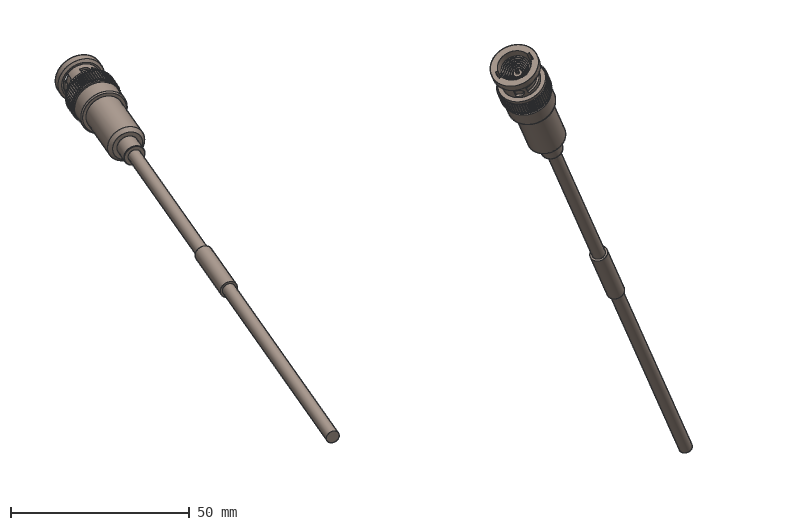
import cadquery as cq
import math

OVERALL_LENGTH = 195.58

CABLE_RADIUS = 1.95
MARKER_RADIUS = 2.6
MARKER_START = 96.3
MARKER_LENGTH = 19.4

COLLAR_RADIUS = 7.0
COLLAR_CYLINDER_END = 2.2
COLLAR_END = 2.7
COLLAR_END_RADIUS = 6.1
NECK_RADIUS = 5.6
GRIP_START = 8.0
GRIP_RADIUS = COLLAR_RADIUS
KNURL_RADIUS = 7.49
KNURL_START = 9.1
KNURL_END = 13.5
NUT_END = 14.1
NUT_BORE_RADIUS = 4.9
NUT_BORE_DEPTH = 8.8

KNURL_COUNT = 60
KNURL_DEPTH = 0.4
KNURL_HALF_WIDTH = 0.3

SLOT_COUNT = 2
SLOT_WIDTH = 2.4
ENTRY_ANGLE = -27.0
HELIX_START = 4.9
HELIX_END_ANGLE = 66.0
HELIX_END = 5.8
DETENT_ANGLE = 90.0
DETENT_POSITION = 5.9
DETENT_RADIUS = 1.4
ENTRY_GROOVE_RADIUS = 5.5

GROOVE_END = 14.8
GROOVE_RADIUS = 6.5
FLANGE_RADIUS = 7.0
FLANGE_END = 20.1
FLANGE_CHAMFER = 0.4
BARREL_RADIUS = 5.6
BARREL_END = 36.7
SHOULDER_RADIUS = 4.5
SHOULDER_END = 37.8
FERRULE_RADIUS = 3.2
FERRULE_END = 43.2
FERRULE_CHAMFER = 0.15

TUBE_RADIUS = 4.15
TUBE_START = 1.4
STEP_COUNT = 6
STEP_RADIUS_DROP = 0.44
STEP_DEPTH = 0.5
INSULATOR_RADIUS = 1.35
INSULATOR_START = 3.8
PIN_RADIUS = 0.5
PIN_START = 2.6
PIN_TIP_RADIUS = 0.3
PIN_TIP_LENGTH = 0.4


def revolve_about_x(points):
    """Solid of revolution from (x, radius) points."""
    return cq.Workplane("XY").polyline(points).close().revolve(360, (0, 0, 0), (1, 0, 0))


def rod(start, end, radius):
    """Cylinder on the X axis."""
    return cq.Workplane("YZ", origin=(start, 0, 0)).circle(radius).extrude(end - start)


def turn(shape, angle):
    """Turn a shape about the X axis, positive from -Y toward -Z."""
    return shape.rotate((0, 0, 0), (1, 0, 0), angle)


def knurl_cutter():
    """One V groove along X at the top of the grip."""
    floor = KNURL_RADIUS - KNURL_DEPTH
    rim = KNURL_RADIUS + KNURL_DEPTH
    half_rim = KNURL_HALF_WIDTH * (rim - floor) / KNURL_DEPTH
    return (
        cq.Workplane("YZ", origin=(GRIP_START, 0, 0))
        .polyline([(0, floor), (half_rim, rim), (-half_rim, rim)])
        .close()
        .extrude(NUT_END - GRIP_START)
    )


def radial_hole(position, radius, angle):
    """Cylinder reaching outward through the nut wall at one angle."""
    hole = (
        cq.Workplane("XZ", origin=(position, 0, 0))
        .circle(radius)
        .extrude(COLLAR_RADIUS)
    )
    return turn(hole, angle)


def helical_slot():
    """Slot with a round start that climbs along X from the entry angle to the end angle."""
    sweep_angle = HELIX_END_ANGLE - ENTRY_ANGLE
    travel = HELIX_END - HELIX_START
    pitch = travel * 360 / sweep_angle
    middle_radius = (TUBE_RADIUS + COLLAR_RADIUS) / 2
    path = cq.Wire.makeHelix(pitch, travel, middle_radius)
    slope = math.degrees(math.atan2(travel, middle_radius * math.radians(sweep_angle)))
    band = (
        cq.Workplane("XZ", origin=(middle_radius, 0, 0))
        .transformed(rotate=(slope, 0, 0))
        .rect(COLLAR_RADIUS - TUBE_RADIUS, SLOT_WIDTH)
        .sweep(cq.Workplane(obj=path), isFrenet=True)
    )
    band = band.rotate((0, 0, 0), (0, 1, 0), 90).translate((HELIX_START, 0, 0))
    band = turn(band, ENTRY_ANGLE - 90)
    start_round = radial_hole(HELIX_START, SLOT_WIDTH / 2, ENTRY_ANGLE)
    return band.union(start_round)


def slot_entry():
    """Groove inside the collar that leads from the mating face into the slot."""
    inside_collar = (
        cq.Workplane("XY", origin=(COLLAR_END / 2, -ENTRY_GROOVE_RADIUS / 2, 0))
        .box(COLLAR_END, ENTRY_GROOVE_RADIUS, SLOT_WIDTH)
    )
    through_neck = (
        cq.Workplane("XY", origin=((COLLAR_END + HELIX_START) / 2, -COLLAR_RADIUS / 2, 0))
        .box(HELIX_START - COLLAR_END, COLLAR_RADIUS, SLOT_WIDTH)
    )
    return turn(inside_collar.union(through_neck), ENTRY_ANGLE)


def detent_hole():
    """Round seat with a square side facing the end of the slot."""
    square_side = (
        cq.Workplane("XY", origin=(DETENT_POSITION, -COLLAR_RADIUS / 2, -DETENT_RADIUS / 2))
        .box(2 * DETENT_RADIUS, COLLAR_RADIUS, DETENT_RADIUS)
    )
    return radial_hole(DETENT_POSITION, DETENT_RADIUS, 0).union(square_side)


def make_nut():
    nut = revolve_about_x([
        (0, NUT_BORE_RADIUS),
        (0, COLLAR_RADIUS),
        (COLLAR_CYLINDER_END, COLLAR_RADIUS),
        (COLLAR_END, COLLAR_END_RADIUS),
        (COLLAR_END, NECK_RADIUS),
        (GRIP_START, NECK_RADIUS),
        (GRIP_START, GRIP_RADIUS),
        (KNURL_START, GRIP_RADIUS),
        (KNURL_START, KNURL_RADIUS),
        (KNURL_END, KNURL_RADIUS),
        (KNURL_END, GRIP_RADIUS),
        (NUT_END, GRIP_RADIUS),
        (NUT_END, TUBE_RADIUS),
        (NUT_BORE_DEPTH, TUBE_RADIUS),
        (NUT_BORE_DEPTH, NUT_BORE_RADIUS),
    ])
    groove = knurl_cutter()
    for index in range(KNURL_COUNT):
        nut = nut.cut(turn(groove, (index + 0.5) * 360 / KNURL_COUNT))
    slot = helical_slot().union(slot_entry())
    detent = turn(detent_hole(), DETENT_ANGLE)
    for index in range(SLOT_COUNT):
        angle = index * 360 / SLOT_COUNT
        nut = nut.cut(turn(slot, angle)).cut(turn(detent, angle))
    return nut


def make_connector():
    """Body with its contact tube, insulator and centre pin in one piece."""
    socket_steps = []
    for step in reversed(range(STEP_COUNT)):
        face = TUBE_START + step * STEP_DEPTH
        outer = TUBE_RADIUS - step * STEP_RADIUS_DROP
        inner = outer - STEP_RADIUS_DROP
        socket_steps += [(face, inner), (face, outer)]
    socket_floor = TUBE_START + STEP_COUNT * STEP_DEPTH
    smallest_bore = TUBE_RADIUS - STEP_COUNT * STEP_RADIUS_DROP
    return revolve_about_x([
        (PIN_START, 0),
        (PIN_START, PIN_TIP_RADIUS),
        (PIN_START + PIN_TIP_LENGTH, PIN_RADIUS),
        (INSULATOR_START, PIN_RADIUS),
        (INSULATOR_START, INSULATOR_RADIUS),
        (socket_floor, INSULATOR_RADIUS),
        (socket_floor, smallest_bore),
        *socket_steps,
        (NUT_END, TUBE_RADIUS),
        (NUT_END, GROOVE_RADIUS),
        (GROOVE_END, GROOVE_RADIUS),
        (GROOVE_END, FLANGE_RADIUS),
        (FLANGE_END - FLANGE_CHAMFER, FLANGE_RADIUS),
        (FLANGE_END, FLANGE_RADIUS - FLANGE_CHAMFER),
        (FLANGE_END, BARREL_RADIUS),
        (BARREL_END, BARREL_RADIUS),
        (SHOULDER_END, SHOULDER_RADIUS),
        (SHOULDER_END, FERRULE_RADIUS),
        (FERRULE_END - FERRULE_CHAMFER, FERRULE_RADIUS),
        (FERRULE_END, FERRULE_RADIUS - FERRULE_CHAMFER),
        (FERRULE_END, CABLE_RADIUS),
        (SHOULDER_END, CABLE_RADIUS),
        (SHOULDER_END, 0),
    ])


def make_cable():
    return rod(SHOULDER_END, OVERALL_LENGTH, CABLE_RADIUS)


def make_marker():
    """Sleeve that hugs the cable."""
    end = MARKER_START + MARKER_LENGTH
    return rod(MARKER_START, end, MARKER_RADIUS).cut(rod(MARKER_START, end, CABLE_RADIUS))


nut = make_nut()
connector = make_connector()
cable = make_cable()
marker = make_marker()

bodies = [nut, connector, cable, marker]
result = cq.Compound.makeCompound([body.solids().val() for body in bodies])